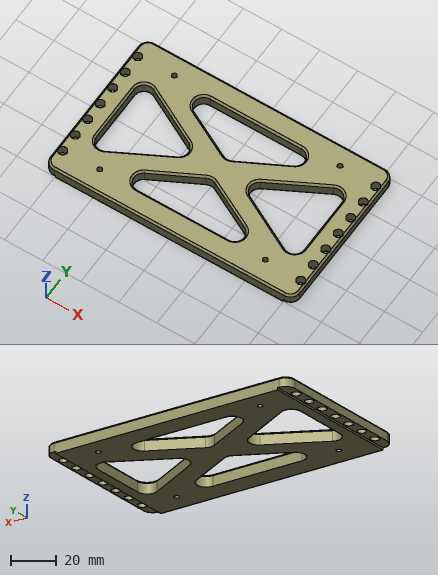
import cadquery as cq

length = 131.0
width = 80.0
thickness = 6.0
corner_radius = 5.0
edge_chamfer = 1.0

ledge_length = 5.8
ledge_height = 1.0

row_hole_diameter = 4.3
row_hole_count = 7
row_hole_pitch = 10.0
row_hole_inset = 3.0

mount_hole_diameter = 2.5
mount_spacing_x = 87.0
mount_spacing_y = 59.5
mount_offset_y = 0.5

window_radius = 5.0
long_window_half_base = 24.0
long_window_base_y = 24.0
long_window_tip_y = 11.4
end_window_half_base = 15.0
end_window_base_x = 49.5
end_window_tip_x = 21.2


def make_window(arc_centres):
    """Through cutter whose outline runs one radius outside the given triangle."""
    return cq.Workplane("XY").polyline(arc_centres).close().offset2D(window_radius).extrude(thickness)


def cut_windows(plate):
    """Cut opposing pairs of windows, leaving an X-shaped web between them."""
    for side in (-1, 1):
        long_window = [
            (-long_window_half_base, side * long_window_base_y),
            (long_window_half_base, side * long_window_base_y),
            (0, side * long_window_tip_y),
        ]
        end_window = [
            (side * end_window_base_x, -end_window_half_base),
            (side * end_window_base_x, end_window_half_base),
            (side * end_window_tip_x, 0),
        ]
        plate = plate.cut(make_window(long_window)).cut(make_window(end_window))
    return plate


def cut_ledges(plate):
    """Step the underside up at both ends, across the full width."""
    ledges = (
        cq.Workplane("XY")
        .pushPoints([(-length / 2, 0), (length / 2, 0)])
        .rect(2 * ledge_length, width)
        .extrude(ledge_height)
    )
    return plate.cut(ledges)


def cut_holes(plate):
    """Drill the end rows and the mounting holes through the plate."""
    row_holes = (
        cq.Workplane("XY")
        .rarray(length - 2 * row_hole_inset, row_hole_pitch, 2, row_hole_count)
        .circle(row_hole_diameter / 2)
        .extrude(thickness)
    )
    mount_holes = (
        cq.Workplane("XY")
        .center(0, mount_offset_y)
        .rarray(mount_spacing_x, mount_spacing_y, 2, 2)
        .circle(mount_hole_diameter / 2)
        .extrude(thickness)
    )
    return plate.cut(row_holes).cut(mount_holes)


plate = cq.Workplane("XY").box(length, width, thickness, centered=(True, True, False))
plate = plate.edges("|Z").fillet(corner_radius)
plate = cut_windows(plate)
plate = plate.faces(">Z").edges().chamfer(edge_chamfer)
plate = cut_ledges(plate)
result = cut_holes(plate)